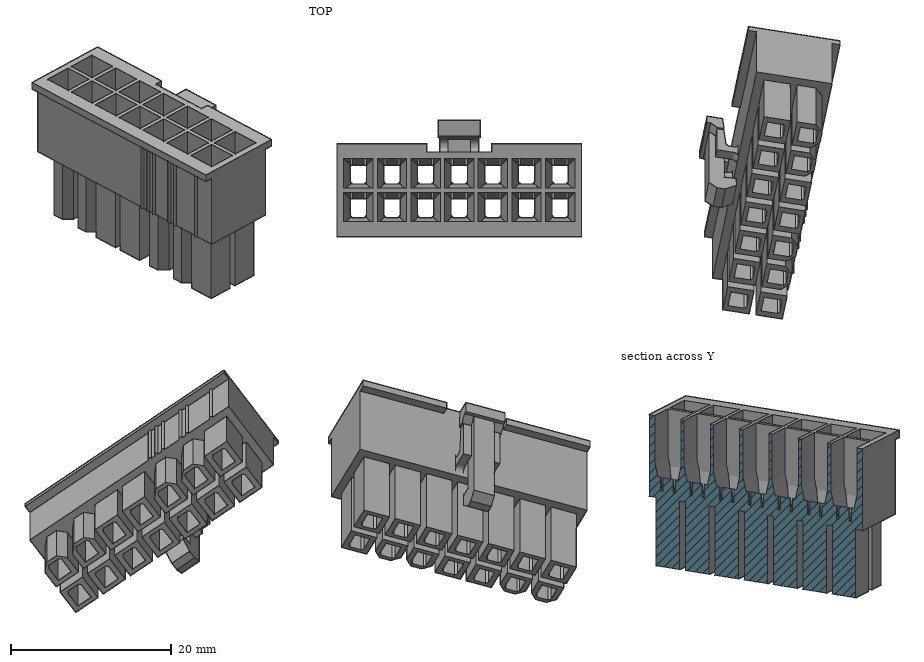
import cadquery as cq
import math

length = 30.6
height = 19.6
flange_depth = 11.65
flange_thickness = 0.98
body_front = 1.0
body_back = 10.62
body_bottom = 8.9
flange_bottom = height - flange_thickness

columns = 7
rows = 2
column_span = 25.2
pitch = column_span / (columns - 1)

silo_width = 3.43
silo_depth = 3.37
silo_front = 1.93
silo_bevel = 0.98
bevelled_columns = (0, 1, 4, 5)

pocket_width = 3.67
pocket_front = 1.9
hole_width = 2.02
hole_depth = 2.33
hole_bevel = 0.28
funnel_draft = 13.0
funnel_bottom = body_bottom + 1.0
slot_width = 0.28
funnel_run = (pocket_width - hole_width) / 2
funnel_height = funnel_run / math.tan(math.radians(funnel_draft))
funnel_top = funnel_bottom + funnel_height

rib_radius = 0.23
rib_spacing = 1.0

notch_width = 8.08
head_width = 5.3
hinge_width = 4.9
lever_width = 2.75
head_top = 17.7
head_shelf = 16.15
head_bottom = 15.3
head_outer = 14.6
head_inner = 12.6
lever_outer = 14.15
lever_inner = 12.15
hinge_outer = 13.28
hinge_top = 11.57
hinge_bottom = 10.25
hinge_radius = 0.65
hook_top = 5.85
hook_root = 5.72
hook_nose = 4.2
lever_shoulder = 3.82
lever_tip = 2.88
tip_outer = 13.1
tip_inner = 12.03

lean_end_z = hinge_top + hinge_radius
lean_rate = (head_inner - lever_inner) / (head_top - lean_end_z)
head_bottom_inner = head_inner - lean_rate * (head_top - head_bottom)


def column_x(column):
    return (column - (columns - 1) / 2) * pitch


def block(x_center, width, y_min, y_max, z_min, z_max):
    """Box centred on x_center, between the given Y and Z limits."""
    base = cq.Workplane("XY", origin=(x_center, y_min, z_min))
    return base.box(width, y_max - y_min, z_max - z_min, centered=(True, False, False))


def extrude_across(outline, x_center, width):
    """Extrude a (Y, Z) outline along X, centred on x_center."""
    return outline.extrude(width / 2, both=True).translate((x_center, 0, 0))


def make_body():
    body = block(0, length, body_front, body_back, body_bottom, height)
    flange = block(0, length, 0, flange_depth, flange_bottom, height)
    notch = block(0, notch_width, body_back, flange_depth, flange_bottom, height)
    return body.union(flange.cut(notch))


def make_ribs():
    """Groups of three, two and one half-round ribs, centred on the columns right of the middle."""
    ribs = cq.Workplane("XY")
    middle = columns // 2
    for step, count in ((1, 3), (2, 2), (3, 1)):
        for index in range(count):
            x = column_x(middle + step) + (index - (count - 1) / 2) * rib_spacing
            rib = cq.Workplane("XY", origin=(x, body_front, body_bottom)).circle(rib_radius)
            ribs = ribs.union(rib.extrude(flange_bottom - body_bottom))
    return ribs


def make_silo(column, row):
    y = silo_front + row * pitch
    silo = block(column_x(column), silo_width, y, y + silo_depth, 0, body_bottom)
    if row == 0 and column in bevelled_columns:
        silo = silo.faces("<Y").edges("|Z").chamfer(silo_bevel)
    return silo


def make_cavity():
    """Cavity of one circuit, with its pocket centred on X = 0 and starting at Y = 0."""
    hole_back = pocket_width - funnel_run
    hole_front = hole_back - hole_depth
    hole = block(0, hole_width, hole_front, hole_back, 0, funnel_bottom)
    hole = hole.faces("<Y").edges("|Z").chamfer(hole_bevel)

    pocket = block(0, pocket_width, 0, pocket_width, funnel_top, height)
    funnel = (
        cq.Workplane("XY", origin=(0, (hole_front + hole_back) / 2, funnel_bottom))
        .rect(hole_width, hole_depth)
        .workplane(offset=funnel_height)
        .rect(hole_width + 2 * funnel_run, hole_depth + 2 * funnel_run)
        .loft(ruled=True)
    )
    funnel = funnel.intersect(block(0, pocket_width, 0, pocket_width, funnel_bottom, funnel_top))

    cavity = hole.union(funnel).union(pocket)
    for side in (-1, 1):
        slot_x = side * (hole_width - slot_width) / 2
        cavity = cavity.union(block(slot_x, slot_width, hole_front, pocket_width, funnel_bottom, height))
    return cavity


def make_latch_head():
    outline = (
        cq.Workplane("YZ")
        .moveTo(head_inner, head_top)
        .lineTo(head_outer, head_top)
        .lineTo(head_outer, head_shelf)
        .lineTo(lever_outer, head_shelf)
        .lineTo(hinge_outer, head_bottom)
        .lineTo(head_bottom_inner, head_bottom)
        .close()
    )
    return extrude_across(outline, 0, head_width)


def make_latch_lever():
    outline = (
        cq.Workplane("YZ")
        .moveTo(head_inner, head_top)
        .lineTo(lever_outer, head_top)
        .lineTo(lever_outer, lever_shoulder)
        .lineTo(tip_outer, lever_tip)
        .lineTo(tip_inner, lever_tip)
        .lineTo(body_back, hook_nose)
        .lineTo(body_back, hook_top)
        .lineTo(lever_inner, hook_root)
        .lineTo(lever_inner, lean_end_z)
        .close()
    )
    return extrude_across(outline, 0, lever_width)


def make_hinge(side):
    """One of the two webs beside the lever that join the latch to the back of the body."""
    corner = hinge_radius * (1 - math.sqrt(0.5))
    outline = (
        cq.Workplane("YZ")
        .moveTo(hinge_outer, hinge_bottom)
        .lineTo(hinge_outer, head_bottom)
        .lineTo(head_bottom_inner, head_bottom)
        .lineTo(lever_inner, lean_end_z)
        .threePointArc((lever_inner - corner, hinge_top + corner), (lever_inner - hinge_radius, hinge_top))
        .lineTo(body_back + hinge_radius, hinge_top)
        .threePointArc((body_back + corner, hinge_top + corner), (body_back, hinge_top + hinge_radius))
        .lineTo(body_back, hinge_bottom - hinge_radius)
        .threePointArc((body_back + corner, hinge_bottom - corner), (body_back + hinge_radius, hinge_bottom))
        .close()
    )
    web_width = (hinge_width - lever_width) / 2
    return extrude_across(outline, side * (lever_width + web_width) / 2, web_width)


circuits = [(column, row) for column in range(columns) for row in range(rows)]

housing = make_body().union(make_ribs())
for column, row in circuits:
    housing = housing.union(make_silo(column, row))

cavity = make_cavity()
for column, row in circuits:
    housing = housing.cut(cavity.translate((column_x(column), pocket_front + row * pitch, 0)))

latch = make_latch_head().union(make_latch_lever())
for side in (-1, 1):
    latch = latch.union(make_hinge(side))

result = housing.union(latch)